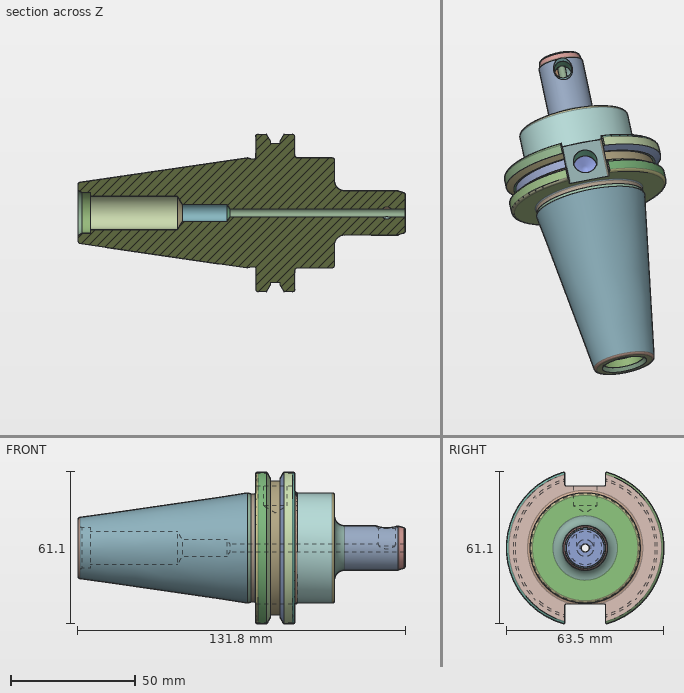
import cadquery as cq
import math


GAUGE_DIAMETER = 44.45
TAPER_LENGTH = 68.25
TAPER_RATE = 7 / 24
TAPER_END_RADIUS = 1.0

RELIEF_DIAMETER = 43.6
RELIEF_LEAD_IN = 1.3
RELIEF_ROOT_RADIUS = 0.4
RELIEF_LENGTH = 3.18

FLANGE_DIAMETER = 63.5
FLANGE_WIDTH = 15.87
FLANGE_EDGE_RADIUS = 1.0
GROOVE_RIM_WIDTH = 6.9
GROOVE_FLOOR_WIDTH = 3.7
GROOVE_FLOOR_DIAMETER = 56.36
GROOVE_WALL_ANGLE = 30

SLOT_WIDTH = 16.3
TOP_SLOT_FLOOR = 25.0
BOTTOM_SLOT_FLOOR = 22.6
SLOT_FLOOR_RADIUS = 0.5
SLOT_RIM_CHAMFER = 0.5
DETENT_DIAMETER = 9.53
DETENT_DEPTH = 8.0

COLLAR_DIAMETER = 44.45
COLLAR_ROOT_RADIUS = 1.0
COLLAR_END_X = TAPER_LENGTH + 35.0
COLLAR_EDGE_RADIUS = 1.0

PILOT_DIAMETER = 18.0
PILOT_ROOT_RADIUS = 4.0
PILOT_END_X = 131.75
PILOT_STEP_DIAMETER = 17.53
PILOT_STEP_LENGTH = 0.4
PILOT_LEAD_LENGTH = 2.7
PILOT_LEAD_ANGLE = 15
PILOT_EDGE_CHAMFER = 0.6

SCREW_X = 124.3
SCREW_DIAMETER = 7.0
SCREW_SINK_DIAMETER = 9.3
SCREW_FLOOR_Z = 0.7

MOUTH_DIAMETER = 18.2
MOUTH_HALF_ANGLE = 30
COUNTERBORE_DIAMETER = 16.3
COUNTERBORE_DEPTH = 5.0
THREAD_BORE_DIAMETER = 13.39
THREAD_BORE_DEPTH = 40.0
CENTER_BORE_DIAMETER = 6.78
CENTER_BORE_DEPTH = 60.0
COOLANT_DIAMETER = 3.17

DRILL_POINT_HALF_ANGLE = 59

FLANGE_X = TAPER_LENGTH + RELIEF_LENGTH
FLANGE_MIDDLE_X = FLANGE_X + FLANGE_WIDTH / 2
FLANGE_END_X = FLANGE_X + FLANGE_WIDTH
AXIS_START = (0, 0)


def drill_tip(wide_diameter, narrow_diameter=0.0):
    """Length of the cone that a drill leaves between two diameters."""
    return (wide_diameter - narrow_diameter) / 2 / math.tan(math.radians(DRILL_POINT_HALF_ANGLE))


def revolved(profile):
    """Close a half profile drawn in XY and turn it about the X axis."""
    return profile.close().revolve(360, AXIS_START, (1, 0))


def taper_and_relief():
    small_radius = (GAUGE_DIAMETER - TAPER_LENGTH * TAPER_RATE) / 2
    relief_radius = RELIEF_DIAMETER / 2
    body = revolved(
        cq.Workplane("XY")
        .moveTo(*AXIS_START)
        .lineTo(0, small_radius)
        .lineTo(TAPER_LENGTH, GAUGE_DIAMETER / 2)
        .lineTo(TAPER_LENGTH + RELIEF_LEAD_IN, relief_radius)
        .lineTo(FLANGE_X - RELIEF_ROOT_RADIUS, relief_radius)
        .radiusArc((FLANGE_X, relief_radius + RELIEF_ROOT_RADIUS), -RELIEF_ROOT_RADIUS)
        .lineTo(FLANGE_X, 0)
    )
    return body.edges("<X").fillet(TAPER_END_RADIUS)


def flange():
    disc = (
        cq.Workplane("YZ", origin=(FLANGE_X, 0, 0))
        .circle(FLANGE_DIAMETER / 2)
        .extrude(FLANGE_WIDTH)
        .edges()
        .fillet(FLANGE_EDGE_RADIUS)
    )
    rim = FLANGE_DIAMETER / 2
    floor = GROOVE_FLOOR_DIAMETER / 2
    rim_half = GROOVE_RIM_WIDTH / 2
    floor_half = GROOVE_FLOOR_WIDTH / 2
    wall_foot = rim - (rim_half - floor_half) / math.tan(math.radians(GROOVE_WALL_ANGLE))
    groove = revolved(
        cq.Workplane("XY")
        .moveTo(FLANGE_MIDDLE_X - rim_half, rim)
        .lineTo(FLANGE_MIDDLE_X - floor_half, wall_foot)
        .lineTo(FLANGE_MIDDLE_X - floor_half, floor)
        .lineTo(FLANGE_MIDDLE_X + floor_half, floor)
        .lineTo(FLANGE_MIDDLE_X + floor_half, wall_foot)
        .lineTo(FLANGE_MIDDLE_X + rim_half, rim)
    )
    return disc.cut(groove)


def drive_slot(floor_z, side):
    """Slot through the flange and the collar root fillet; side is +1 (top) or -1 (bottom)."""
    half = SLOT_WIDTH / 2
    mouth_half = half + SLOT_RIM_CHAMFER
    outer_z = FLANGE_DIAMETER / 2
    rim_z = math.sqrt(outer_z**2 - mouth_half**2)
    inner_half = half - SLOT_FLOOR_RADIUS
    arc_z = floor_z + SLOT_FLOOR_RADIUS
    slot = (
        cq.Workplane("YZ", origin=(FLANGE_X, 0, 0))
        .moveTo(-inner_half, floor_z)
        .lineTo(inner_half, floor_z)
        .radiusArc((half, arc_z), -SLOT_FLOOR_RADIUS)
        .lineTo(half, rim_z - SLOT_RIM_CHAMFER)
        .lineTo(mouth_half, rim_z)
        .lineTo(mouth_half, outer_z)
        .lineTo(-mouth_half, outer_z)
        .lineTo(-mouth_half, rim_z)
        .lineTo(-half, rim_z - SLOT_RIM_CHAMFER)
        .lineTo(-half, arc_z)
        .radiusArc((-inner_half, floor_z), -SLOT_FLOOR_RADIUS)
        .close()
        .extrude(FLANGE_WIDTH + COLLAR_ROOT_RADIUS)
    )
    return slot if side > 0 else slot.mirror("XY")


def drilled_hole(x, top_z, floor_z, diameter):
    """Hole straight down from top_z; floor_z is where its drill point begins."""
    radius = diameter / 2
    return (
        cq.Workplane("XZ", origin=(x, 0, 0))
        .moveTo(0, top_z)
        .lineTo(radius, top_z)
        .lineTo(radius, floor_z)
        .lineTo(0, floor_z - drill_tip(diameter))
        .close()
        .revolve(360, (0, 0), (0, 1))
    )


def detent():
    """Drilled hole in the floor of the top slot."""
    floor_z = TOP_SLOT_FLOOR - DETENT_DEPTH
    return drilled_hole(FLANGE_MIDDLE_X, TOP_SLOT_FLOOR, floor_z, DETENT_DIAMETER)


def collar_and_pilot():
    collar_radius = COLLAR_DIAMETER / 2
    pilot_radius = PILOT_DIAMETER / 2
    lead_x = PILOT_END_X - PILOT_LEAD_LENGTH
    edge_x = PILOT_END_X - PILOT_EDGE_CHAMFER
    step_radius = PILOT_STEP_DIAMETER / 2
    edge_radius = step_radius - (edge_x - lead_x) * math.tan(math.radians(PILOT_LEAD_ANGLE))
    return revolved(
        cq.Workplane("XY")
        .moveTo(FLANGE_END_X, 0)
        .lineTo(FLANGE_END_X, collar_radius + COLLAR_ROOT_RADIUS)
        .radiusArc((FLANGE_END_X + COLLAR_ROOT_RADIUS, collar_radius), -COLLAR_ROOT_RADIUS)
        .lineTo(COLLAR_END_X - COLLAR_EDGE_RADIUS, collar_radius)
        .radiusArc((COLLAR_END_X, collar_radius - COLLAR_EDGE_RADIUS), COLLAR_EDGE_RADIUS)
        .lineTo(COLLAR_END_X, pilot_radius + PILOT_ROOT_RADIUS)
        .radiusArc((COLLAR_END_X + PILOT_ROOT_RADIUS, pilot_radius), -PILOT_ROOT_RADIUS)
        .lineTo(lead_x - PILOT_STEP_LENGTH, pilot_radius)
        .lineTo(lead_x, step_radius)
        .lineTo(edge_x, edge_radius)
        .lineTo(PILOT_END_X, edge_radius - PILOT_EDGE_CHAMFER)
        .lineTo(PILOT_END_X, 0)
    )


def axial_bore():
    """Pull stud bore and the coolant hole that runs on through the pilot."""
    mouth = MOUTH_DIAMETER / 2
    counterbore = COUNTERBORE_DIAMETER / 2
    mouth_depth = (mouth - counterbore) / math.tan(math.radians(MOUTH_HALF_ANGLE))
    thread = THREAD_BORE_DIAMETER / 2
    center = CENTER_BORE_DIAMETER / 2
    coolant = COOLANT_DIAMETER / 2
    thread_tip_x = THREAD_BORE_DEPTH + drill_tip(THREAD_BORE_DIAMETER, CENTER_BORE_DIAMETER)
    center_tip_x = CENTER_BORE_DEPTH + drill_tip(CENTER_BORE_DIAMETER, COOLANT_DIAMETER)
    return revolved(
        cq.Workplane("XY")
        .moveTo(*AXIS_START)
        .lineTo(0, mouth)
        .lineTo(mouth_depth, counterbore)
        .lineTo(COUNTERBORE_DEPTH, counterbore)
        .lineTo(COUNTERBORE_DEPTH, thread)
        .lineTo(THREAD_BORE_DEPTH, thread)
        .lineTo(thread_tip_x, center)
        .lineTo(CENTER_BORE_DEPTH, center)
        .lineTo(center_tip_x, coolant)
        .lineTo(PILOT_END_X, coolant)
        .lineTo(PILOT_END_X, 0)
    )


def screw_hole():
    """Drilled hole with a 90 degree countersink."""
    top_z = PILOT_DIAMETER / 2
    sink_radius = SCREW_SINK_DIAMETER / 2
    hole = drilled_hole(SCREW_X, top_z, SCREW_FLOOR_Z, SCREW_DIAMETER)
    countersink = (
        cq.Workplane("XZ", origin=(SCREW_X, 0, 0))
        .moveTo(0, top_z)
        .lineTo(sink_radius, top_z)
        .lineTo(0, top_z - sink_radius)
        .close()
        .revolve(360, (0, 0), (0, 1))
    )
    return hole.union(countersink)


result = (
    taper_and_relief()
    .union(flange())
    .union(collar_and_pilot())
    .cut(drive_slot(TOP_SLOT_FLOOR, 1))
    .cut(drive_slot(BOTTOM_SLOT_FLOOR, -1))
    .cut(detent())
    .cut(axial_bore())
    .cut(screw_hole())
)